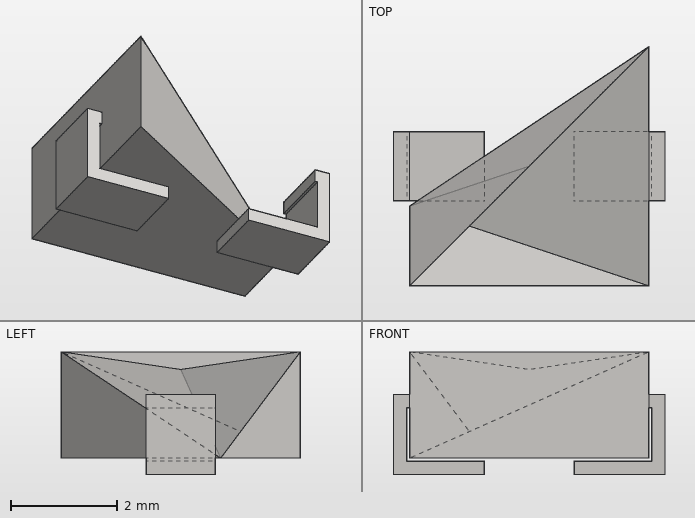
import cadquery as cq

body_side = 4.5
body_height = 2.0
lead_span = 5.11
total_height = 2.31
left_edge_length = 1.5

lead_thickness = 0.255
lead_width = 1.3
lead_height = 1.51
foot_length = 1.71

body_half = body_side / 2
body_bottom = total_height - body_height
body_top = total_height
lead_half_span = lead_span / 2


ridge_sag = body_height / 6

front_slope = body_height / left_edge_length
side_slope = body_height / body_side
valley_offset = body_side * side_slope / (front_slope + side_slope)
valley_drop = front_slope * valley_offset


def polyhedron(faces):
    """Solid bounded by flat faces, each given as a list of corner points."""
    sides = [cq.Face.makeFromWires(cq.Wire.makePolygon(face, close=True)) for face in faces]
    return cq.Workplane(cq.Solid.makeSolid(cq.Shell.makeShell(sides)))


def make_body():
    """Faceted body: full front and right faces, cut away towards the rear left corner."""
    bottom_front_left = (-body_half, -body_half, body_bottom)
    bottom_front_right = (body_half, -body_half, body_bottom)
    bottom_rear_right = (body_half, body_half, body_bottom)
    bottom_left = (-body_half, -body_half + left_edge_length, body_bottom)
    top_front_left = (-body_half, -body_half, body_top)
    top_front_right = (body_half, -body_half, body_top)
    top_rear_right = (body_half, body_half, body_top)
    ridge_middle = (0, 0, body_top - ridge_sag)
    valley_place = -body_half + valley_offset
    valley = (valley_place, valley_place, body_top - valley_drop)

    return polyhedron([
        [bottom_front_left, bottom_left, bottom_rear_right, bottom_front_right],
        [bottom_front_left, bottom_front_right, top_front_right, top_front_left],
        [bottom_front_right, bottom_rear_right, top_rear_right, top_front_right],
        [bottom_rear_right, bottom_left, top_rear_right],
        [bottom_front_left, top_front_left, bottom_left],
        [top_front_left, top_front_right, valley],
        [top_front_right, top_rear_right, valley],
        [top_front_left, valley, top_rear_right, ridge_middle],
        [bottom_left, top_front_left, ridge_middle],
        [bottom_left, ridge_middle, top_rear_right],
    ])


def make_lead(side):
    """C-shaped lead on the left (side = -1) or right (side = 1), its lip level with the body's side."""
    outer = lead_half_span
    inner = outer - lead_thickness
    foot_end = outer - foot_length
    lip_bottom = lead_height - lead_thickness
    profile = [
        (outer, 0),
        (outer, lead_height),
        (body_half, lead_height),
        (body_half, lip_bottom),
        (inner, lip_bottom),
        (inner, lead_thickness),
        (foot_end, lead_thickness),
        (foot_end, 0),
    ]
    return (
        cq.Workplane("XZ")
        .polyline([(side * x, z) for x, z in profile])
        .close()
        .extrude(lead_width / 2, both=True)
    )


body = make_body()
leads = [make_lead(side) for side in (-1, 1)]

result = cq.Compound.makeCompound([body.val(), *[lead.val() for lead in leads]])